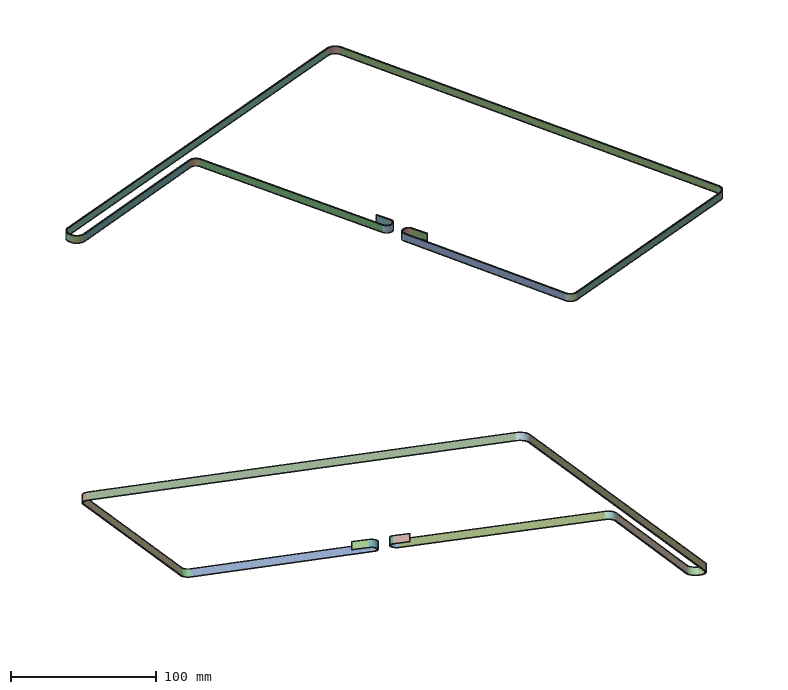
import cadquery as cq
import math

thickness = 0.9
height = 6.0

frame_radius = 7.0
inner_radius = 5.0
hairpin_radius = 6.5
hook_radius = 4.0

right_hook_end_x = 36.5
right_hook_x = 19.5
right_hook_top_y = -18.5
right_hook_bottom_y = -27.0

left_hook_end_x = -7.0
left_hook_x = 9.0
left_hook_top_y = -17.2
left_hook_bottom_y = -26.0

lower_right = (165.5, -32.3)
upper_right = (171.5, 147.0)
upper_left = (-161.5, 157.8)
inner_corner = (-154.3, -22.5)

tilt = math.radians(1.85)
leg_width = 13.7
hairpin_left = (-172.0, -157.0)
hairpin_right = (
    hairpin_left[0] + leg_width * math.cos(tilt),
    hairpin_left[1] - leg_width * math.sin(tilt),
)

bends = [
    ((right_hook_x, right_hook_top_y), hook_radius),
    ((right_hook_x, right_hook_bottom_y), hook_radius),
    (lower_right, inner_radius),
    (upper_right, frame_radius),
    (upper_left, frame_radius),
    (hairpin_left, hairpin_radius),
    (hairpin_right, hairpin_radius),
    (inner_corner, inner_radius),
    ((left_hook_x, left_hook_bottom_y), hook_radius),
    ((left_hook_x, left_hook_top_y), hook_radius),
]
start = cq.Vector(right_hook_end_x, right_hook_top_y)
end = cq.Vector(left_hook_end_x, left_hook_top_y)


def left_of(direction):
    """Direction turned a quarter turn anticlockwise."""
    return cq.Vector(-direction.y, direction.x)


def bend_arc(before, corner, after, radius, offset):
    """Start, middle and end of a tangent bend, shifted by offset to the left of travel."""
    incoming = (corner - before).normalized()
    outgoing = (after - corner).normalized()
    turn = incoming.cross(outgoing).z
    turn_angle = incoming.getAngle(outgoing)
    tangent_length = radius * math.tan(turn_angle / 2)
    first = corner - incoming * tangent_length
    side = math.copysign(1, turn)
    centre = first + left_of(incoming) * (side * radius)
    arm = radius - side * offset
    middle_direction = (incoming + outgoing).normalized()
    return [
        centre - left_of(direction) * (side * arm)
        for direction in (incoming, middle_direction, outgoing)
    ]


def strip_side(offset):
    """End points and bend arcs of one face of the strip."""
    corners = [start] + [cq.Vector(*corner) for corner, _ in bends] + [end]
    arcs = [
        bend_arc(corners[i], corners[i + 1], corners[i + 2], radius, offset)
        for i, (_, radius) in enumerate(bends)
    ]
    first = start + left_of((corners[1] - start).normalized()) * offset
    last = end + left_of((end - corners[-2]).normalized()) * offset
    return first, arcs, last


left_start, left_arcs, left_end = strip_side(thickness / 2)
right_start, right_arcs, right_end = strip_side(-thickness / 2)

outline = cq.Workplane("XY").moveTo(left_start.x, left_start.y)
for first, middle, last in left_arcs:
    outline = outline.lineTo(first.x, first.y)
    outline = outline.threePointArc((middle.x, middle.y), (last.x, last.y))
outline = outline.lineTo(left_end.x, left_end.y)
outline = outline.lineTo(right_end.x, right_end.y)
for first, middle, last in reversed(right_arcs):
    outline = outline.lineTo(last.x, last.y)
    outline = outline.threePointArc((middle.x, middle.y), (first.x, first.y))
outline = outline.lineTo(right_start.x, right_start.y)

result = outline.close().extrude(height)